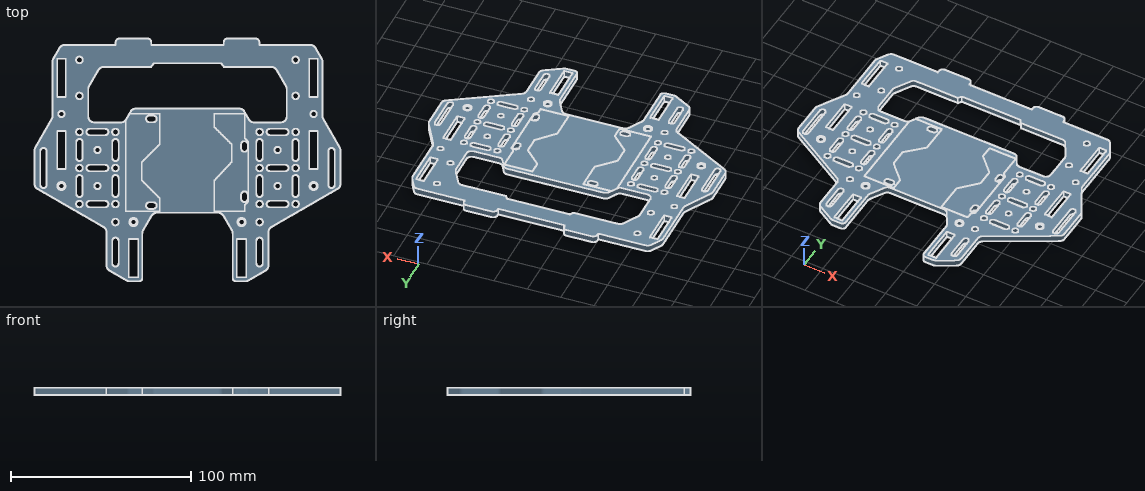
import cadquery as cq
plate_length = 170.0
pitch = plate_length / 17
plate_width = 13.5 * pitch
thickness = 4.0

half_length = plate_length / 2
shoulder_x = 7.5 * pitch
leg_outer_x = 4.5 * pitch
leg_inner_x = 2.5 * pitch
tan_60 = 3 ** 0.5
tan_30 = 1 / tan_60

rear_edge_y = 131.4
rear_corner_y = 122.9
shoulder_y = 91.0
wing_bottom_y = 52.4
leg_cut_y = 7.0
leg_neck_y = 27.7
middle_front_y = 38.0
outline_radius = 3.4
leg_toe_radius = 2.0
selection_margin = 0.2

tab_x = 3 * pitch
tab_length = 2 * pitch
tab_radius = 2.4
tab_overlap = 3.4

window_side_x = 5.5 * pitch
window_front_y = 88.4
window_middle_y = 96.0
window_deck_x = 30.6
window_corner_y = 107.8
window_rear_y = 119.0
window_notch_y = 121.0
window_notch_x = 18.7
notch_run = 1.5
window_radius = 3.0

grid_x = 5 * pitch
grid_y = 6.3 * pitch
grid_hole_diameter = 3.5
screw_hole_diameter = 3.4
counterbore_diameter = 4.6
counterbore_depth = 0.5
grid_slot_length = 12.0
slot_width = 3.4

frame_hole_rows = [grid_y + 4 * pitch, grid_y + 6 * pitch]
rail_x = 7 * pitch
rail_hole_y = grid_y + 3 * pitch
rail_counterbore_y = grid_y - pitch
leg_hole_y = grid_y - 3 * pitch
leg_centre_x = 3 * pitch
leg_slot_x = 4 * pitch
leg_slot_y = 16.3
leg_slot_length = 16.0
wing_slot_x = 8 * pitch
wing_slot_y = grid_y
wing_slot_length = 22.1

window_slot_length = 21.0
rail_slot_width = 4.6
rail_slot_rows = [grid_y + pitch, grid_y + 5 * pitch]
leg_window_width = 5.1
leg_window_y = 13.0

board_left = -34.3
board_right = 33.7
board_step_x = 31.8
board_front = 39.1
board_rear = 93.0
board_tongue_front = 44.4
board_tongue_rear = 77.7
board_step = board_right - board_step_x
left_seat_edge = -15.5
left_waist_step = 9.9
waist_front = 56.1
waist_rear = 66.3
right_seat_edge = 15.0
right_waist_step = 9.5
right_waist_rear = 76.2
left_board_screws = [(-20.0, 42.2), (-20.0, 90.3)]
right_board_screws = [(31.6, 47.1), (31.6, 75.0)]
seat_depth = 0.2
board_slot_length = 5.8
board_slot_width = 3.5


def mirrored(points):
    """Close a half outline, given from the centre line round to the centre line, with its mirror image."""
    return points + [(-x, y) for x, y in reversed(points)]


def prism(points, depth=thickness):
    return cq.Workplane("XY").polyline(points).close().extrude(depth)


def vertical_slots(centres, length, width=slot_width):
    return cq.Workplane("XY").pushPoints(centres).slot2D(length, width, 90).extrude(thickness)


def horizontal_slots(centres, length, width=slot_width):
    return cq.Workplane("XY").pushPoints(centres).slot2D(length, width, 0).extrude(thickness)


def windows(centres, width):
    return cq.Workplane("XY").pushPoints(centres).rect(width, window_slot_length).extrude(thickness)


def holes(centres, diameter):
    return cq.Workplane("XY").pushPoints(centres).circle(diameter / 2).extrude(thickness)


def both_sides(x, rows):
    return [(side * x, y) for side in (-1, 1) for y in rows]


def plate():
    outline = mirrored([
        (leg_inner_x - (middle_front_y - leg_neck_y) * tan_30, middle_front_y),
        (leg_inner_x, leg_neck_y),
        (leg_inner_x, 0),
        (leg_outer_x - leg_cut_y * tan_60, 0),
        (leg_outer_x, leg_cut_y),
        (leg_outer_x, wing_bottom_y - (half_length - leg_outer_x) * tan_30),
        (half_length, wing_bottom_y),
        (half_length, shoulder_y - (half_length - shoulder_x) * tan_60),
        (shoulder_x, shoulder_y),
        (shoulder_x, rear_corner_y),
        (shoulder_x - (rear_edge_y - rear_corner_y) * tan_30, rear_edge_y),
    ])
    upright = cq.selectors.ParallelDirSelector(cq.Vector(0, 0, 1))
    toes = cq.selectors.BoxSelector(
        (-leg_inner_x - selection_margin, -selection_margin, 0),
        (leg_inner_x + selection_margin, selection_margin, thickness),
    )
    body = prism(outline).edges(upright - toes).fillet(outline_radius)
    return body.edges(upright & toes).fillet(leg_toe_radius)


def rear_tabs():
    tab_front_y = rear_edge_y - tab_overlap
    tabs = (
        cq.Workplane("XY")
        .pushPoints(both_sides(tab_x, [(tab_front_y + plate_width) / 2]))
        .rect(tab_length, plate_width - tab_front_y)
        .extrude(thickness)
    )
    return tabs.edges("|Z and >Y").fillet(tab_radius)


def rear_window():
    outline = mirrored([
        (window_deck_x, window_middle_y),
        (window_deck_x + (window_middle_y - window_front_y) * tan_30, window_front_y),
        (window_side_x, window_front_y),
        (window_side_x, window_corner_y),
        (window_side_x - (window_rear_y - window_corner_y) * tan_30, window_rear_y),
        (window_notch_x + notch_run, window_rear_y),
        (window_notch_x, window_notch_y),
    ])
    upright = cq.selectors.ParallelDirSelector(cq.Vector(0, 0, 1))
    notch = cq.selectors.BoxSelector(
        (-window_notch_x - notch_run - selection_margin, window_rear_y - selection_margin, 0),
        (window_notch_x + notch_run + selection_margin, window_notch_y + selection_margin, thickness),
    )
    return prism(outline).edges(upright - notch).fillet(window_radius)


def grid_cutouts():
    """Corner holes, inner screw holes and linking slots of the grid on each side."""
    centres = both_sides(grid_x, [grid_y])
    corners = [(x + dx, y + dy) for x, y in centres for dx in (-pitch, pitch) for dy in (-2 * pitch, 0, 2 * pitch)]
    inner = [(x, y + dy) for x, y in centres for dy in (-pitch, pitch)]
    uprights = [(x + dx, y) for x, y in inner for dx in (-pitch, pitch)]
    crossbars = [(x, y + dy) for x, y in centres for dy in (-2 * pitch, 0, 2 * pitch)]
    return (
        holes(corners, grid_hole_diameter)
        .union(holes(inner, screw_hole_diameter))
        .union(vertical_slots(uprights, grid_slot_length))
        .union(horizontal_slots(crossbars, grid_slot_length))
    )


def frame_cutouts():
    """Holes and slots of the rails, wings and legs."""
    counterbored = both_sides(rail_x, [rail_counterbore_y]) + both_sides(leg_centre_x, [leg_hole_y])
    counterbores = (
        cq.Workplane("XY", origin=(0, 0, thickness - counterbore_depth))
        .pushPoints(counterbored)
        .circle(counterbore_diameter / 2)
        .extrude(counterbore_depth)
    )
    return (
        holes(both_sides(grid_x + pitch, frame_hole_rows), grid_hole_diameter)
        .union(holes(both_sides(leg_slot_x, [leg_hole_y]), grid_hole_diameter))
        .union(holes(both_sides(rail_x, [rail_hole_y]) + counterbored, screw_hole_diameter))
        .union(counterbores)
        .union(vertical_slots(both_sides(wing_slot_x, [wing_slot_y]), wing_slot_length))
        .union(vertical_slots(both_sides(leg_slot_x, [leg_slot_y]), leg_slot_length))
        .union(windows(both_sides(rail_x, rail_slot_rows), rail_slot_width))
        .union(windows(both_sides(leg_centre_x, [leg_window_y]), leg_window_width))
    )


def board_cutouts():
    """Two shallow seats under the board ends, and the four board screw slots."""
    left_seat = [
        (board_left, board_front),
        (left_seat_edge, board_front),
        (left_seat_edge, waist_front - left_waist_step),
        (left_seat_edge - left_waist_step, waist_front),
        (left_seat_edge - left_waist_step, waist_rear),
        (left_seat_edge, waist_rear + left_waist_step),
        (left_seat_edge, board_rear),
        (board_left, board_rear),
    ]
    right_seat = [
        (right_seat_edge, board_front),
        (board_step_x, board_front),
        (board_step_x, board_tongue_front - board_step),
        (board_right, board_tongue_front),
        (board_right, board_tongue_rear),
        (board_step_x, board_tongue_rear + board_step),
        (board_step_x, board_rear),
        (right_seat_edge, board_rear),
        (right_seat_edge, right_waist_rear + right_waist_step),
        (right_seat_edge + right_waist_step, right_waist_rear),
        (right_seat_edge + right_waist_step, waist_rear),
        (right_seat_edge, waist_front),
    ]
    seats = prism(left_seat, seat_depth).union(prism(right_seat, seat_depth))
    return (
        seats.translate((0, 0, thickness - seat_depth))
        .union(horizontal_slots(left_board_screws, board_slot_length, board_slot_width))
        .union(vertical_slots(right_board_screws, board_slot_length, board_slot_width))
    )


result = plate().union(rear_tabs()).cut(rear_window())
result = result.cut(grid_cutouts()).cut(frame_cutouts()).cut(board_cutouts())